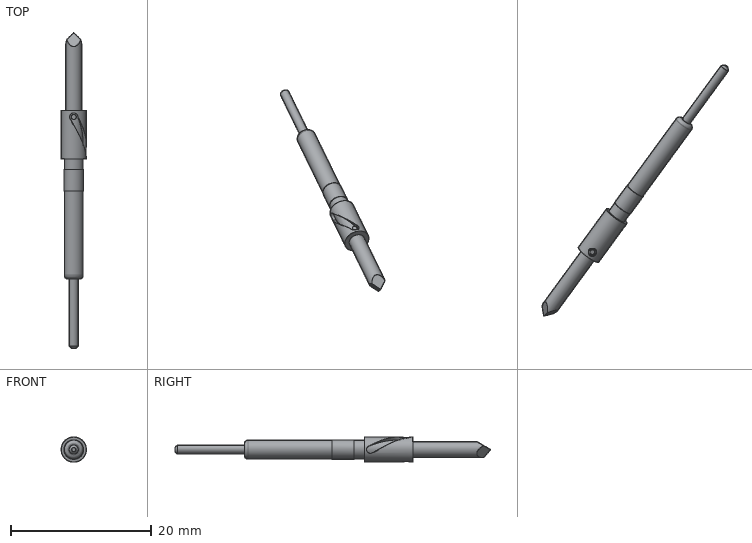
import cadquery as cq
import math

total_length = 45.0

rod_diameter = 1.3
body_diameter = 2.7
ring_diameter = 2.8
sleeve_diameter = 3.6
head_diameter = 2.3

body_start = 9.9
ring_start = 22.4
ring_end = 25.5
sleeve_start = 27.0
sleeve_end = 33.95

rod_chamfer = 0.35
body_fillet = 0.55

face_count = 3
face_angle = 30.0

pocket_diameter = 1.15
slot_width = 1.1
slot_start = 33.0
slot_end = 27.85
slot_turn = 90.0
slot_depth = 0.7
pin_diameter = 0.7
pin_recess = 0.15

sleeve_radius = sleeve_diameter / 2
head_radius = head_diameter / 2


def cylinder(diameter, start, end):
    """Cylinder about the Y axis between two Y positions."""
    solid = cq.Solid.makeCylinder(diameter / 2, end - start, cq.Vector(0, start, 0), cq.Vector(0, 1, 0))
    return cq.Workplane(obj=solid)


def pointed_head():
    """Head rod cut to a pyramid point, with one face turned up."""
    head = cylinder(head_diameter, sleeve_end, total_length)
    face_length = head_radius / math.tan(math.radians(face_angle))
    wedge = (
        cq.Workplane("YZ")
        .moveTo(total_length, 0)
        .lineTo(total_length - face_length, head_radius)
        .lineTo(total_length, head_radius)
        .close()
        .extrude(head_diameter, both=True)
    )
    for i in range(face_count):
        head = head.cut(wedge.rotate((0, 0, 0), (0, 1, 0), i * 360 / face_count))
    return head


def radial_cylinder(diameter, y, inner, outer):
    """Upright cylinder above the axis, between two heights."""
    solid = cq.Solid.makeCylinder(diameter / 2, outer - inner, cq.Vector(0, y, inner), cq.Vector(0, 0, 1))
    return cq.Workplane(obj=solid)


def helical_slot():
    """Round-ended slot cutter that winds down through the sleeve wall."""
    travel = slot_start - slot_end
    pitch = travel * 360 / slot_turn
    helix = cq.Wire.makeHelix(pitch, travel, sleeve_radius, lefthand=True)
    tangent = cq.Vector(0, -2 * math.pi * sleeve_radius, pitch)
    section = cq.Plane(origin=(sleeve_radius, 0, 0), xDir=(1, 0, 0), normal=tangent)
    profile = cq.Workplane(section).rect(2 * slot_depth, slot_width)
    sweep = profile.sweep(cq.Workplane(obj=helix), isFrenet=True)
    frame = cq.Plane(origin=(0, slot_start, 0), xDir=(0, 0, 1), normal=(0, -1, 0))
    slot = cq.Workplane(obj=sweep.val().moved(cq.Location(frame)))
    end = radial_cylinder(slot_width, slot_end, 0, sleeve_diameter)
    return slot, end.rotate((0, 0, 0), (0, 1, 0), slot_turn)


def slotted_sleeve():
    """Sleeve tube with the slot through its wall, and round pockets at top and bottom."""
    pocket = radial_cylinder(pocket_diameter, slot_start, -sleeve_diameter, sleeve_diameter)
    slot, slot_round_end = helical_slot()
    bore = cylinder(body_diameter, sleeve_start, sleeve_end)
    sleeve = cylinder(sleeve_diameter, sleeve_start, sleeve_end).cut(bore)
    return sleeve.cut(slot).cut(slot_round_end).cut(pocket)


def cross_pin():
    """Pin through the body whose ends stand in the sleeve pockets."""
    reach = sleeve_radius - pin_recess
    return radial_cylinder(pin_diameter, slot_start, -reach, reach)


rod = cylinder(rod_diameter, 0, body_start).faces("<Y").chamfer(rod_chamfer)
body = cylinder(body_diameter, body_start, sleeve_end).faces("<Y").edges().fillet(body_fillet)
ring = cylinder(ring_diameter, ring_start, ring_end)

result = slotted_sleeve().union(body).union(cross_pin()).union(ring).union(rod).union(pointed_head())